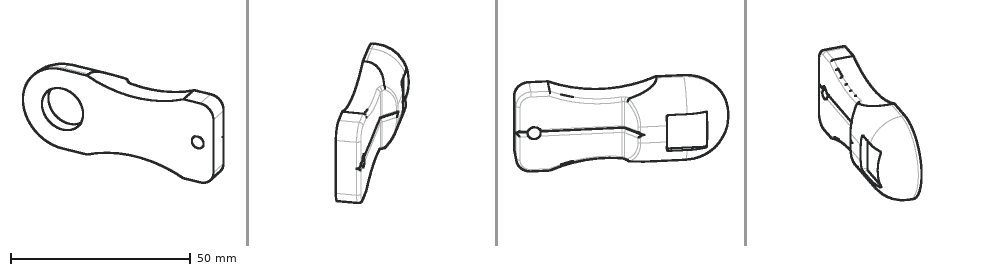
import cadquery as cq
import math

length = 60
width = 25.0
half_width = width / 2
corner_radius = 4.15

head_height = 11.0
rim_height = 1.0
dome_radius = head_height - rim_height
handle_height = 6.95
ramp_start = 26.0
ramp_end = ramp_start + head_height - handle_height
edge_radius = 1.0
foot_radius = 1.0
ramp_angle = math.radians(45)
foot_end = ramp_end + foot_radius * math.tan(ramp_angle / 2)

waist_center = 35.4
waist_half_length = 15.2
waist_depth = 3.2
waist_radius = (waist_half_length**2 + waist_depth**2) / (2 * waist_depth)

base_recess_radius = 6.5
base_recess_depth = 3.9
pocket_side = 11.35
pocket_depth = 2.0
pocket_corner_radius = 0.55
hole_radius = 1.85
hole_center = 55.0


def plane_at(height):
    """XZ plane at a given Y, with its normal pointing along +Y."""
    return cq.Workplane(cq.Plane(origin=(0, height, 0), xDir=(1, 0, 0), normal=(0, 1, 0)))


def zone(x_start, x_end):
    """Full-width block covering one stretch of the part's length."""
    block = cq.Workplane("XY").box(x_end - x_start, head_height, width, centered=(False, False, True))
    return block.translate((x_start, 0, 0))


def outline(height):
    """Rounded head and straight-sided handle, extruded up from the base."""
    return (
        plane_at(0)
        .moveTo(half_width, -half_width)
        .lineTo(length, -half_width)
        .lineTo(length, half_width)
        .lineTo(half_width, half_width)
        .threePointArc((0, 0), (half_width, -half_width))
        .close()
        .extrude(height)
    )


def side_profile():
    """Full-width block with the head, ramp and handle profile, filleted at the ramp's foot."""
    foot = cq.selectors.NearestToPointSelector((ramp_end, handle_height, 0))
    return (
        cq.Workplane("XY")
        .polyline([
            (0, 0), (length, 0), (length, handle_height), (ramp_end, handle_height),
            (ramp_start, head_height), (0, head_height),
        ])
        .close()
        .extrude(half_width, both=True)
        .edges(foot)
        .fillet(foot_radius)
    )


def domed_head():
    """Head rounded over its top edge and cut off by the ramp."""
    head = outline(head_height).faces(">Y").edges("not(>X)").fillet(dome_radius)
    return head.intersect(side_profile())


def handle():
    """Flat handle starting under the ramp, with rounded end corners."""
    slab = outline(handle_height).edges("|Y and >X").fillet(corner_radius)
    return slab.intersect(zone(ramp_start, length))


def waist_cutters():
    offset = half_width - waist_depth + waist_radius
    centers = [(waist_center, offset), (waist_center, -offset)]
    return plane_at(0).pushPoints(centers).circle(waist_radius).extrude(head_height)


def base_recess():
    return plane_at(0).center(half_width, 0).circle(base_recess_radius).extrude(base_recess_depth)


def top_pocket():
    return (
        plane_at(head_height - pocket_depth)
        .center(half_width, 0)
        .rect(pocket_side, pocket_side)
        .extrude(pocket_depth)
        .edges("|Y")
        .fillet(pocket_corner_radius)
    )


def key_hole():
    return plane_at(0).center(hole_center, 0).circle(hole_radius).extrude(handle_height)


def round_top_edges(half_body):
    """Round the handle's top rim and the side of the ramp on one half of the body."""
    margin = 0.05
    rim_zone = cq.selectors.BoxSelector(
        (ramp_start + margin, handle_height - margin, -width),
        (length + margin, head_height - margin, width),
    )
    rim = half_body.edges(rim_zone).edges("not(|Z) or >X")
    return rim.sort(lambda edge: -edge.Center().x).fillet(edge_radius)


body = domed_head().intersect(zone(0, foot_end)).union(handle()).cut(waist_cutters())
upper_half = cq.Workplane("XY").box(length, head_height, half_width, centered=False)
half = round_top_edges(body.intersect(upper_half))
body = half.union(half.mirror("XY"))
result = body.cut(base_recess()).cut(top_pocket()).cut(key_hole())